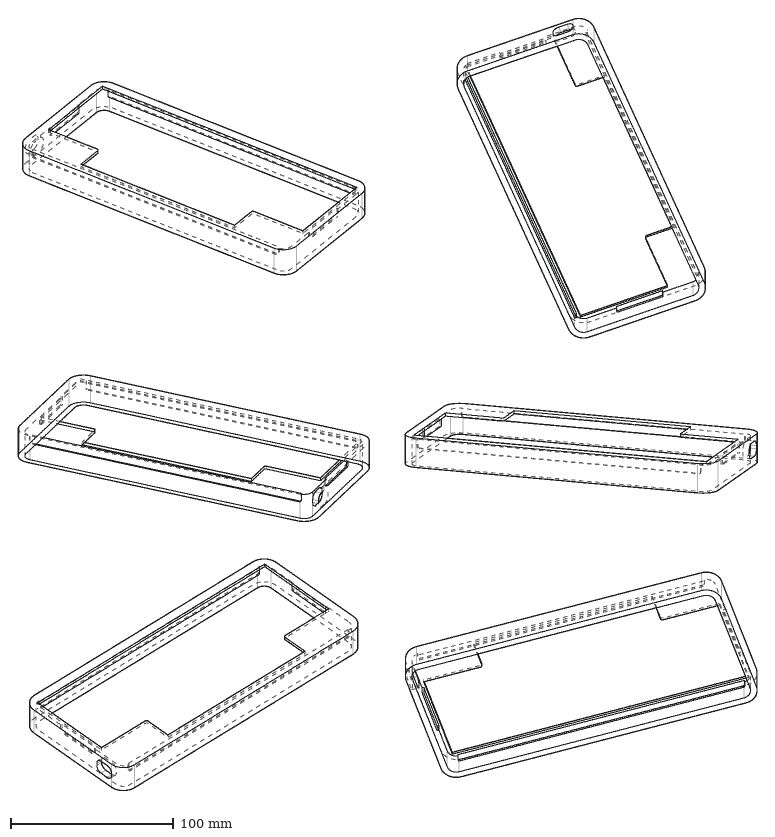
import cadquery as cq

length = 204.5
width = 90.2
height = 18.8
corner_radius = 10.0
wall = 4.0
lip_thickness = 2.0

side_margin = 6.3
end_margin = 6.5
tab_depth = 25.8
tab_reach = 44.4
tab_corner_radius = 1.2

rib_height = 5.5
rib_protrusion = 1.0
long_rib_length = 185.7
short_rib_length = 30.7
rib_corner_radius = 1.0

port_width = 13.3
port_height = 9.6
port_radius = 3.9
port_y = -28.5
port_z = 10.5

lip_bottom = height - lip_thickness
cavity_length = length - 2 * wall
cavity_width = width - 2 * wall


def make_shell():
    """Rounded tray, open at the bottom, with a thin top lip."""
    outer = cq.Workplane("XY").box(length, width, height, centered=(True, True, False))
    outer = outer.edges("|Z").fillet(corner_radius)
    cavity = cq.Workplane("XY").box(cavity_length, cavity_width, lip_bottom, centered=(True, True, False))
    cavity = cavity.edges("|Z").fillet(corner_radius - wall)
    return outer.cut(cavity)


def make_window():
    """T-shaped opening that leaves a tab in each front corner."""
    half_window = length / 2 - side_margin
    half_gap = length / 2 - tab_reach
    back = width / 2 - end_margin
    front = -width / 2 + end_margin
    tab_back = -width / 2 + tab_depth
    window = (
        cq.Workplane("XY", origin=(0, 0, lip_bottom))
        .polyline([
            (-half_window, back),
            (half_window, back),
            (half_window, tab_back),
            (half_gap, tab_back),
            (half_gap, front),
            (-half_gap, front),
            (-half_gap, tab_back),
            (-half_window, tab_back),
        ])
        .close()
        .extrude(lip_thickness)
    )
    tab_corners = cq.selectors.BoxSelector(
        (-half_gap - tab_corner_radius, tab_back - tab_corner_radius, 0),
        (half_gap + tab_corner_radius, tab_back + tab_corner_radius, height),
    )
    return window.edges("|Z").edges(tab_corners).fillet(tab_corner_radius)


def make_rib(rib_length, wall_distance, angle):
    """Rib embedded in the wall that lies wall_distance from the centre, turned about Z."""
    rib = cq.Workplane("XY").box(rib_length, rib_protrusion + wall / 2, rib_height)
    rib = rib.edges("|Y and <Z").fillet(rib_corner_radius)
    centre_y = wall_distance + (wall / 2 - rib_protrusion) / 2
    rib = rib.translate((0, centre_y, lip_bottom - rib_height / 2))
    return rib.rotate((0, 0, 0), (0, 0, 1), angle)


def make_port():
    """Rounded slot through the -X wall and its rib."""
    port_depth = wall + rib_protrusion
    port = cq.Workplane("XY").box(port_depth, port_width, port_height)
    port = port.edges("|X").fillet(port_radius)
    return port.translate(((port_depth - length) / 2, port_y, port_z))


result = make_shell().cut(make_window())
for turn in (0, 180):
    result = result.union(make_rib(long_rib_length, cavity_width / 2, turn))
    result = result.union(make_rib(short_rib_length, cavity_length / 2, turn + 90))
result = result.cut(make_port())